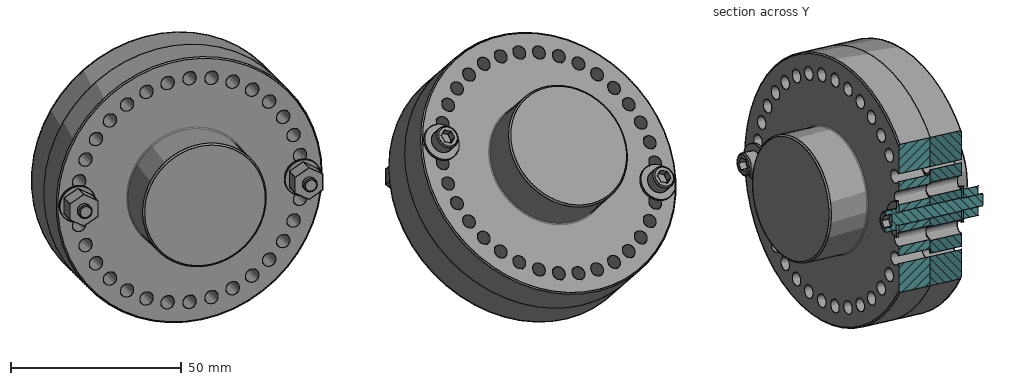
import cadquery as cq
import math

overall_length = 50.8
flange_diameter = 82.55
flange_thickness = 11.55
hub_diameter = 38.4
flange_chamfer = 0.4
hub_chamfer = 0.5
hub_root_fillet = 0.3

hole_circle_radius = 34.9
hole_diameter = 4.1
head_side_hole_count = 34
nut_side_hole_count = 32

bolt_angles = (0, 180)
bolt_diameter = hole_diameter
bolt_end_x = 19.5
bolt_tip_chamfer = 0.3
head_diameter = 6.85
head_height = 4.2
head_chamfer = 0.4
socket_flats = 3.7
socket_depth = 2.5
washer_diameter = 11.15
washer_thickness = 0.8
nut_flats = 8.6
nut_thickness = 5.4

washer_outer_x = flange_thickness + washer_thickness


def place_on_circle(workplane, angle):
    """Move a body from the X axis to its spot on the hole circle."""
    turn = math.radians(angle)
    offset_y = hole_circle_radius * math.cos(turn)
    offset_z = hole_circle_radius * math.sin(turn)
    return workplane.translate((0, offset_y, offset_z))


def hexagon(start_x, flats, length):
    """Hexagonal prism along +X with two corners pointing along Y."""
    corner_diameter = flats / math.cos(math.pi / 6)
    return cq.Workplane("YZ", origin=(start_x, 0, 0)).polygon(6, corner_diameter).extrude(length)


def make_flanged_hub(hole_count):
    """Flange from X = 0 with a hub in +X, drilled with an even circle of holes."""
    flange = (
        cq.Workplane("YZ")
        .circle(flange_diameter / 2)
        .extrude(flange_thickness)
        .faces(">X")
        .chamfer(flange_chamfer)
    )
    hub = (
        cq.Workplane("YZ")
        .circle(hub_diameter / 2)
        .extrude(overall_length / 2)
        .faces(">X")
        .chamfer(hub_chamfer)
    )
    flange_face = cq.selectors.NearestToPointSelector((flange_thickness, 0, hole_circle_radius))
    hub_root = cq.selectors.RadiusNthSelector(0)
    body = flange.union(hub).faces(flange_face).edges(hub_root).fillet(hub_root_fillet)
    holes = (
        cq.Workplane("YZ")
        .polarArray(hole_circle_radius, 0, 360, hole_count)
        .circle(hole_diameter / 2)
        .extrude(flange_thickness)
    )
    return body.cut(holes)


def make_bolt(angle):
    """Socket head bolt with its head at -X, seated on the outer face of its washer."""
    shank = (
        cq.Workplane("YZ", origin=(-washer_outer_x, 0, 0))
        .circle(bolt_diameter / 2)
        .extrude(washer_outer_x + bolt_end_x)
        .faces(">X")
        .chamfer(bolt_tip_chamfer)
    )
    head_end_x = -washer_outer_x - head_height
    head = (
        cq.Workplane("YZ", origin=(head_end_x, 0, 0))
        .circle(head_diameter / 2)
        .extrude(head_height)
        .faces("<X")
        .chamfer(head_chamfer)
    )
    socket = hexagon(head_end_x, socket_flats, socket_depth)
    return place_on_circle(shank.union(head).cut(socket), angle)


def make_washer(start_x, angle):
    """Flat washer reaching from start_x toward +X."""
    washer = (
        cq.Workplane("YZ", origin=(start_x, 0, 0))
        .circle(washer_diameter / 2)
        .circle(bolt_diameter / 2)
        .extrude(washer_thickness)
    )
    return place_on_circle(washer, angle)


def make_nut(angle):
    """Hexagonal nut on the +X washer, turned so that two corners point along Z."""
    nut = hexagon(washer_outer_x, nut_flats, nut_thickness).rotate((0, 0, 0), (1, 0, 0), 90)
    bore = (
        cq.Workplane("YZ", origin=(washer_outer_x, 0, 0))
        .circle(bolt_diameter / 2)
        .extrude(nut_thickness)
    )
    return place_on_circle(nut.cut(bore), angle)


nut_side_hub = make_flanged_hub(nut_side_hole_count)
head_side_hub = make_flanged_hub(head_side_hole_count).mirror("YZ")

bolts = []
washers = []
nuts = []
for bolt_angle in bolt_angles:
    bolts.append(make_bolt(bolt_angle).val())
    washers.append(make_washer(-washer_outer_x, bolt_angle).val())
    washers.append(make_washer(flange_thickness, bolt_angle).val())
    nuts.append(make_nut(bolt_angle).val())

result = cq.Compound.makeCompound([head_side_hub.val(), nut_side_hub.val(), *bolts, *washers, *nuts])